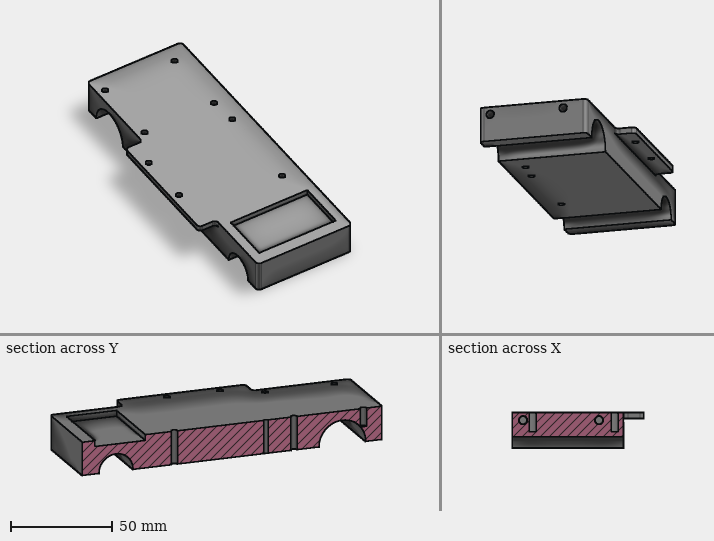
import cadquery as cq

length = 158.1
total_width = 65.0
height = 17.5
body_width = 55.0
corner_radius = 2.0
body_front = total_width - body_width

tab_left = 51.4
tab_right = 119.5
tab_thickness = 3.0

channels = [(20.9, 12.2), (140.2, 8.9)]
channel_axis_height = 0.3

pocket_left = 124.9
pocket_length = 26.4
pocket_margin = 5.2
pocket_depth = 3.0
pocket_width = body_width - 2 * pocket_margin

hole_diameter = 3.2
left_column = 9.8
middle_column = 46.3
right_column = 109.4
back_row = total_width - 10.1
front_row = 14.4
tab_row = 4.3
through_holes = [
    (middle_column, back_row),
    (61.2, total_width - 8.9),
    (right_column, back_row),
    (66.2, tab_row),
    (94.2, tab_row),
]
blind_holes = [
    (left_column, back_row),
    (left_column, front_row),
    (middle_column, front_row),
]
blind_depth = 9.5

side_hole_diameter = 4.0
side_hole_depth = 15.8
side_hole_height = height - 3.8
side_hole_rows = [total_width - 5.4, total_width - 42.8]


def make_plate():
    """Full-height body joined to the thin tab, with all vertical corners rounded."""
    body = cq.Workplane("XY").box(length, body_width, height, centered=False)
    body = body.translate((0, body_front, 0)).edges("|Z").fillet(corner_radius)
    tab = (
        cq.Workplane("XY", origin=(0, 0, height - tab_thickness))
        .moveTo(tab_left - corner_radius, body_front)
        .radiusArc((tab_left, body_front - corner_radius), corner_radius)
        .lineTo(tab_left, corner_radius)
        .radiusArc((tab_left + corner_radius, 0), -corner_radius)
        .lineTo(tab_right - corner_radius, 0)
        .radiusArc((tab_right, corner_radius), -corner_radius)
        .lineTo(tab_right, body_front - corner_radius)
        .radiusArc((tab_right + corner_radius, body_front), corner_radius)
        .lineTo(tab_right + corner_radius, body_front + corner_radius)
        .lineTo(tab_left - corner_radius, body_front + corner_radius)
        .close()
        .extrude(tab_thickness)
    )
    return body.union(tab)


def make_channel(center_x, radius):
    """Round-topped channel with short straight sides, running the full width."""
    return (
        cq.Workplane("XZ")
        .moveTo(center_x - radius, 0)
        .lineTo(center_x - radius, channel_axis_height)
        .threePointArc(
            (center_x, channel_axis_height + radius),
            (center_x + radius, channel_axis_height),
        )
        .lineTo(center_x + radius, 0)
        .close()
        .extrude(-total_width)
    )


def make_vertical_holes(points, depth):
    """Round holes going down from the top face."""
    return (
        cq.Workplane("XY", origin=(0, 0, height))
        .pushPoints(points)
        .circle(hole_diameter / 2)
        .extrude(-depth)
    )


def make_side_holes():
    """Round holes going inward from the left face."""
    return (
        cq.Workplane("YZ")
        .pushPoints([(row, side_hole_height) for row in side_hole_rows])
        .circle(side_hole_diameter / 2)
        .extrude(side_hole_depth)
    )


def make_pocket():
    """Shallow sharp-cornered recess in the top face."""
    pocket = cq.Workplane("XY").box(pocket_length, pocket_width, pocket_depth, centered=False)
    return pocket.translate((pocket_left, body_front + pocket_margin, height - pocket_depth))


result = make_plate()
for channel_x, channel_radius in channels:
    result = result.cut(make_channel(channel_x, channel_radius))
result = result.cut(make_vertical_holes(through_holes, height))
result = result.cut(make_vertical_holes(blind_holes, blind_depth))
result = result.cut(make_side_holes())
result = result.cut(make_pocket())